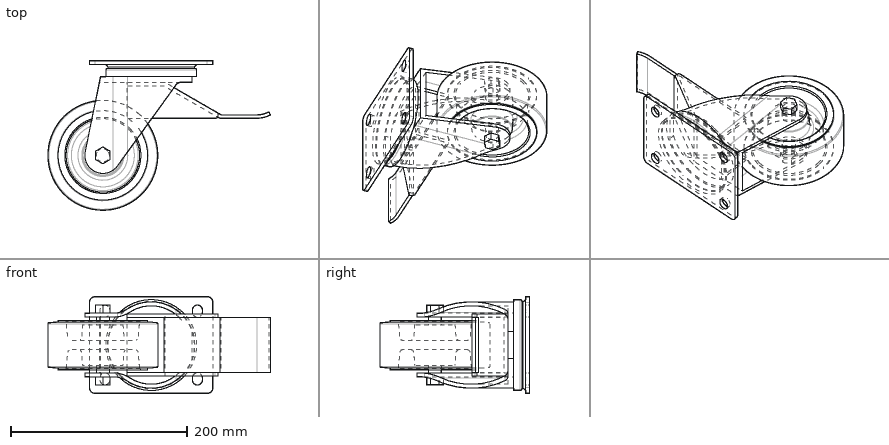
import cadquery as cq
import math

OVERALL_LENGTH = 252.8

WHEEL_RADIUS = 62.5
TREAD_HALF_WIDTH = 25.3
SHOULDER_RADIUS = 1.3
RIM_RADIUS = 51.5
RIM_STEP = 26.3
RIM_FACE_RADIUS = 50.8
RIM_HALF_WIDTH = 28.0
HUB_HALF_WIDTH = 23.0
HUB_END_RADIUS = 23.0
HUB_BASE_RADIUS = 24.3
RECESS_FLOOR_RADIUS = 39.7
RECESS_MOUTH_RADIUS = 41.7
RECESS_LIP = 1.5
WEB_HALF_WIDTH = 5.0
RECESS_FILLET = 4.3
HUB_EDGE_FILLET = 0.8

AXLE_DIAMETER = 15.0
BOLT_ACROSS_FLATS = 16.5
BOLT_HALF_LENGTH = 45.3
HEX_SIDES = 6

SWIVEL_X = 54.9
PLATE_TOP = 107.5
PLATE_THICKNESS = 4.5
PLATE_LENGTH = 140.3
PLATE_WIDTH = 110.0
PLATE_CORNER_RADIUS = 6.5
SLOT_PITCH_X = 105.0
SLOT_PITCH_Z = 76.9
SLOT_WIDTH = 11.0
SLOT_LENGTH = 13.7

RACE_DIAMETER = 103.2
RACE_NECK_RADIUS = 49.0
RACE_NECK_Y = 100.0
LOWER_RACE_TOP = 98.9
RACE_EDGE_ROUND = 2.0

FORK_TOP = 89.2
CROWN_THICKNESS = 6.3
ARM_THICKNESS = 4.5
ARM_HALF_SPAN = 36.2
ARM_END_RADIUS = 20.5
ARM_TOP_BACK_X = -2.8
ARM_TOP_FRONT_X = 85.2
CROWN_FRONT_X = 101.5
ARM_CORNER_FILLET = 7.5
BULGE_RADIUS = 49.0
BEND_RADIUS = 29.3

SHEET = 4.3
PEDAL_HALF_WIDTH = 31.4
PEDAL_BACK_X = 27.5
PEDAL_BEND_X = 69.3
PEDAL_SLOPE = math.radians(30)
BLADE_BOTTOM = 42.0
BLADE_THICKNESS = 4.0
CHEEK_THICKNESS = 4.0
CHEEK_END_X = 131.0
CHEEK_CORNER_RADIUS = 3.5
TIP_ANGLE = math.radians(28)
TIP_RADIUS = 33.4

PLATE_BOTTOM = PLATE_TOP - PLATE_THICKNESS
CROWN_BOTTOM = FORK_TOP - CROWN_THICKNESS


def disc(radius, half_width):
    return cq.Workplane("XY").circle(radius).extrude(half_width, both=True)


def revolve_about_wheel_axis(points):
    """Revolve (radius, z) points about the wheel axis."""
    return cq.Workplane("XZ").polyline(points).close().revolve(360, (0, 0, 0), (0, 1, 0))


def make_wheel():
    tyre = revolve_about_wheel_axis([
        (0, -RIM_STEP),
        (RIM_RADIUS, -RIM_STEP),
        (WHEEL_RADIUS, -TREAD_HALF_WIDTH),
        (WHEEL_RADIUS, TREAD_HALF_WIDTH),
        (RIM_RADIUS, RIM_STEP),
        (0, RIM_STEP),
    ])
    shoulder = cq.selectors.RadiusNthSelector(-1)
    tyre = tyre.edges("%CIRCLE").edges(shoulder).fillet(SHOULDER_RADIUS)
    wheel = tyre.union(disc(RIM_FACE_RADIUS, RIM_HALF_WIDTH))

    recess = revolve_about_wheel_axis([
        (HUB_BASE_RADIUS, WEB_HALF_WIDTH),
        (RECESS_FLOOR_RADIUS, WEB_HALF_WIDTH),
        (RECESS_MOUTH_RADIUS, RIM_HALF_WIDTH - RECESS_LIP),
        (RECESS_MOUTH_RADIUS + RECESS_LIP, RIM_HALF_WIDTH),
        (0, RIM_HALF_WIDTH),
        (0, HUB_HALF_WIDTH),
        (HUB_END_RADIUS, HUB_HALF_WIDTH),
    ])
    recess = recess.faces("<Z").edges().fillet(RECESS_FILLET)
    wheel = wheel.cut(recess).cut(recess.mirror("XY"))
    for end_z in (-HUB_HALF_WIDTH, HUB_HALF_WIDTH):
        hub_edge = cq.selectors.NearestToPointSelector((0, 0, end_z))
        wheel = wheel.edges("%CIRCLE").edges(hub_edge).fillet(HUB_EDGE_FILLET)
    return wheel


def make_axle():
    shank = disc(AXLE_DIAMETER / 2, BOLT_HALF_LENGTH)
    across_corners = BOLT_ACROSS_FLATS / math.cos(math.pi / HEX_SIDES)
    head_length = BOLT_HALF_LENGTH - ARM_HALF_SPAN
    head = (
        cq.Workplane("XY", origin=(0, 0, ARM_HALF_SPAN))
        .polygon(HEX_SIDES, across_corners)
        .extrude(head_length)
        .rotate((0, 0, 0), (0, 0, 1), 180 / HEX_SIDES)
    )
    return shank.union(head).union(head.mirror("XY"))


def make_plate():
    swivel_plane = cq.Workplane("XZ", origin=(SWIVEL_X, PLATE_TOP, 0))
    plate = swivel_plane.rect(PLATE_LENGTH, PLATE_WIDTH).extrude(PLATE_THICKNESS)
    plate = plate.edges("|Y").fillet(PLATE_CORNER_RADIUS)
    slots = (
        swivel_plane.rarray(SLOT_PITCH_X, SLOT_PITCH_Z, 2, 2)
        .slot2D(SLOT_LENGTH, SLOT_WIDTH, 90)
        .extrude(PLATE_THICKNESS)
    )
    return plate.cut(slots)


def make_bearing():
    race_radius = RACE_DIAMETER / 2
    return (
        cq.Workplane("XY", origin=(SWIVEL_X, 0, 0))
        .moveTo(0, PLATE_BOTTOM)
        .lineTo(race_radius, PLATE_BOTTOM)
        .lineTo(RACE_NECK_RADIUS, RACE_NECK_Y)
        .lineTo(race_radius - RACE_EDGE_ROUND, LOWER_RACE_TOP)
        .radiusArc((race_radius, LOWER_RACE_TOP - RACE_EDGE_ROUND), RACE_EDGE_ROUND)
        .lineTo(race_radius, FORK_TOP)
        .lineTo(0, FORK_TOP)
        .close()
        .revolve(360, (0, 0, 0), (0, 1, 0))
    )


def fork_shell(inset, top):
    """Solid block up to the height top, with flat sides blending into a round bulge.

    The inset moves its sides inwards from the outer faces of the fork.
    """
    half_span = ARM_HALF_SPAN - inset
    bulge = BULGE_RADIUS - inset
    bend = BEND_RADIUS + inset
    back_x = -2 * BULGE_RADIUS

    centre_distance = BULGE_RADIUS + BEND_RADIUS
    bend_centre_z = ARM_HALF_SPAN + BEND_RADIUS
    bend_x = -math.sqrt(centre_distance ** 2 - bend_centre_z ** 2)
    blend_x = bend_x * bulge / centre_distance
    blend_z = bend_centre_z * bulge / centre_distance
    return (
        cq.Workplane("XZ", origin=(SWIVEL_X, top, 0))
        .moveTo(back_x, half_span)
        .lineTo(bend_x, half_span)
        .radiusArc((blend_x, blend_z), -bend)
        .threePointArc((bulge, 0), (blend_x, -blend_z))
        .radiusArc((bend_x, -half_span), -bend)
        .lineTo(back_x, -half_span)
        .close()
        .extrude(top + ARM_END_RADIUS)
    )


def arm_tangent_point(x, y, turn):
    """Point where a line from (x, y) touches the round arm end; turn picks the side."""
    angle = math.atan2(y, x) + turn * math.acos(ARM_END_RADIUS / math.hypot(x, y))
    return ARM_END_RADIUS * math.cos(angle), ARM_END_RADIUS * math.sin(angle)


def make_fork():
    outer = fork_shell(0, FORK_TOP)
    inner = fork_shell(ARM_THICKNESS, CROWN_BOTTOM)

    side = (
        cq.Workplane("XY")
        .moveTo(ARM_TOP_BACK_X, FORK_TOP)
        .lineTo(*arm_tangent_point(ARM_TOP_BACK_X, FORK_TOP, 1))
        .threePointArc((0, -ARM_END_RADIUS), arm_tangent_point(ARM_TOP_FRONT_X, CROWN_BOTTOM, -1))
        .lineTo(ARM_TOP_FRONT_X, CROWN_BOTTOM)
        .lineTo(CROWN_FRONT_X, CROWN_BOTTOM)
        .lineTo(CROWN_FRONT_X, FORK_TOP)
        .close()
        .extrude(PLATE_WIDTH / 2, both=True)
    )
    corner = cq.selectors.NearestToPointSelector((ARM_TOP_FRONT_X, CROWN_BOTTOM, 0))
    side = side.edges("|Z").edges(corner).fillet(ARM_CORNER_FILLET)
    return outer.cut(inner).intersect(side)


def make_pedal():
    web_top = CROWN_BOTTOM
    web_bottom = web_top - SHEET
    blade_top = BLADE_BOTTOM + BLADE_THICKNESS
    slope = math.tan(PEDAL_SLOPE)
    top_bend_x = PEDAL_BEND_X + SHEET * math.tan(PEDAL_SLOPE / 2)
    blade_start_x = PEDAL_BEND_X + (web_bottom - BLADE_BOTTOM) / slope
    blade_top_start_x = top_bend_x + (web_top - blade_top) / slope

    end_x = OVERALL_LENGTH - WHEEL_RADIUS
    tip_start_x = end_x - TIP_RADIUS * math.sin(TIP_ANGLE)
    tip_centre_y = BLADE_BOTTOM + TIP_RADIUS
    inner_radius = TIP_RADIUS - BLADE_THICKNESS

    def tip_point(radius):
        return tip_start_x + radius * math.sin(TIP_ANGLE), tip_centre_y - radius * math.cos(TIP_ANGLE)

    strip = (
        cq.Workplane("XY")
        .moveTo(PEDAL_BACK_X, web_top)
        .lineTo(PEDAL_BACK_X, web_bottom)
        .lineTo(PEDAL_BEND_X, web_bottom)
        .lineTo(blade_start_x, BLADE_BOTTOM)
        .lineTo(tip_start_x, BLADE_BOTTOM)
        .radiusArc(tip_point(TIP_RADIUS), -TIP_RADIUS)
        .lineTo(*tip_point(inner_radius))
        .radiusArc((tip_start_x, blade_top), inner_radius)
        .lineTo(blade_top_start_x, blade_top)
        .lineTo(top_bend_x, web_top)
        .close()
        .extrude(PEDAL_HALF_WIDTH, both=True)
    )

    cheek_end_y = web_top - (CHEEK_END_X - top_bend_x) * slope
    cheek = (
        cq.Workplane("XY", origin=(0, 0, PEDAL_HALF_WIDTH))
        .moveTo(PEDAL_BACK_X, web_top)
        .lineTo(PEDAL_BACK_X, BLADE_BOTTOM)
        .lineTo(CHEEK_END_X - CHEEK_CORNER_RADIUS, BLADE_BOTTOM)
        .radiusArc((CHEEK_END_X, BLADE_BOTTOM + CHEEK_CORNER_RADIUS), -CHEEK_CORNER_RADIUS)
        .lineTo(CHEEK_END_X, cheek_end_y)
        .lineTo(top_bend_x, web_top)
        .close()
        .extrude(CHEEK_THICKNESS)
    )
    return strip.union(cheek).union(cheek.mirror("XY"))


result = (
    make_plate()
    .union(make_bearing())
    .union(make_fork())
    .union(make_pedal())
    .union(make_axle())
    .union(make_wheel())
)